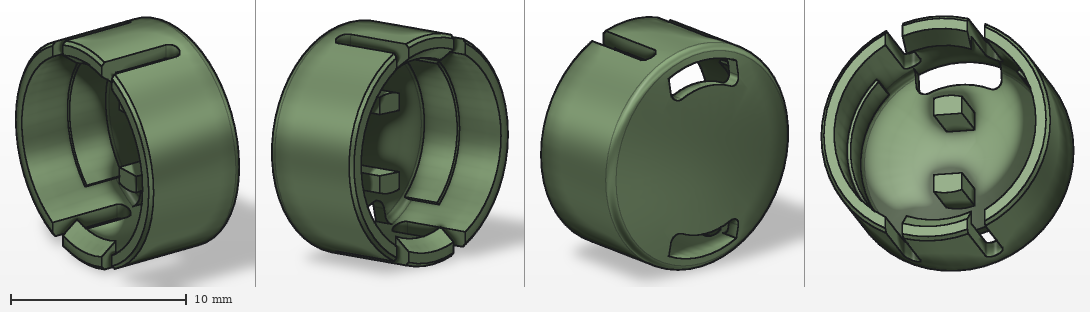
import cadquery as cq
import math


outer_radius = 6.7
inner_radius = 5.9
wall = outer_radius - inner_radius
height = 7.3
rim_chamfer = 0.2
dome_radius = 23.5
edge_fillet = 0.5

slot_width = 1.0
slot_center_x = 2.4
slot_length = 5.0
arm_half_width = slot_center_x - slot_width / 2

hook_tip_radius = 5.2
hook_length = 1.0

window_half_width = 2.5
window_inner_radius = 4.43
window_fillet = 0.5

pad_radius = 5.7
pad_start_y = 3.2
pad_angle = 90.0

pin_width = 1.65
pin_inner_z = 1.78
pin_outer_radius = 2.9
pin_start_y = 3.2


def prism(sketch, start_y, end_y):
    """Extrude a closed XZ sketch from start_y to end_y."""
    return sketch.extrude(start_y - end_y).translate((0, start_y, 0))


def revolve_about_axis(profile):
    """Revolve a closed XY profile around the Y axis."""
    return profile.close().revolve(360, (0, 0), (0, 1))


def blend_start_y(radius, apex_y, sphere_radius):
    """Height where the edge blend leaves the side, tangent to it and, from inside, to the dome."""
    center_y = apex_y - sphere_radius
    return center_y + math.sqrt((sphere_radius - edge_fillet) ** 2 - (radius - edge_fillet) ** 2)


def blended_dome(radius, apex_y, sphere_radius):
    """Wire from the side at (radius, blend_y), over the edge blend and the dome, to the apex."""
    center_y = apex_y - sphere_radius
    blend_x = radius - edge_fillet
    blend_y = blend_start_y(radius, apex_y, sphere_radius)
    tangent_angle = math.atan2(blend_y - center_y, blend_x)
    middle_angle = (tangent_angle + math.pi / 2) / 2

    def on_blend(angle):
        return (
            blend_x + edge_fillet * math.cos(angle),
            blend_y + edge_fillet * math.sin(angle),
        )

    def on_dome(angle):
        return (sphere_radius * math.cos(angle), center_y + sphere_radius * math.sin(angle))

    return (
        cq.Workplane("XY")
        .moveTo(radius, blend_y)
        .threePointArc(on_blend(tangent_angle / 2), on_blend(tangent_angle))
        .threePointArc(on_dome(middle_angle), (0, apex_y))
    )


def make_outside():
    """Solid body of the cap, with a chamfered rim."""
    profile = blended_dome(outer_radius, height, dome_radius).lineTo(0, 0).lineTo(outer_radius, 0)
    return revolve_about_axis(profile).faces("<Y").edges().chamfer(rim_chamfer)


def make_cavity():
    """Space inside the wall and under the dome, with the windows through the dome."""
    bore = prism(cq.Workplane("XZ").circle(inner_radius), 0, height)
    above_dome = height + wall
    inside_wall = inner_radius + wall / 2
    dome = (inner_radius, height - wall, dome_radius - wall)
    underside = blended_dome(*dome)
    blend_y = blend_start_y(*dome)
    ceiling = revolve_about_axis(
        underside.lineTo(0, above_dome).lineTo(inside_wall, above_dome).lineTo(inside_wall, blend_y)
    )
    return bore.cut(ceiling.cut(on_both_sides(make_window())))


def make_slots():
    """Round-ended slots, cut through both sides of the wall along Z."""
    overrun = slot_width
    straight_end = slot_length - slot_width / 2
    slots = cq.Workplane("XY")
    for x in (-slot_center_x, slot_center_x):
        left = x - slot_width / 2
        right = x + slot_width / 2
        slot = (
            cq.Workplane("XY")
            .moveTo(left, -overrun)
            .lineTo(right, -overrun)
            .lineTo(right, straight_end)
            .threePointArc((x, slot_length), (left, straight_end))
            .close()
            .extrude(outer_radius, both=True)
        )
        slots = slots.add(slot)
    return slots.combine()


def make_window():
    """Opening on the +Z side, from its rounded inner edge out past the wall."""
    ring = cq.Workplane("XZ").circle(outer_radius).circle(window_inner_radius)
    strip = cq.Workplane("XZ").center(0, outer_radius).rect(2 * window_half_width, 2 * outer_radius)
    window = prism(ring, 0, 2 * height).intersect(prism(strip, 0, 2 * height))
    corner_z = math.sqrt(window_inner_radius**2 - window_half_width**2)
    reach = window_fillet / 2
    corners = cq.selectors.BoxSelector(
        (-outer_radius, 0, corner_z - reach),
        (outer_radius, 2 * height, corner_z + reach),
    )
    return window.edges("|Y").edges(corners).fillet(window_fillet)


def make_hook():
    """Ramped hook across the +Z snap arm."""
    bite = wall / 2
    ring = (
        cq.Workplane("XY")
        .moveTo(inner_radius, 0)
        .lineTo(hook_tip_radius, hook_length)
        .lineTo(inner_radius + bite, hook_length)
        .lineTo(inner_radius + bite, 0)
        .close()
        .revolve(360, (0, 0), (0, 1))
    )
    strip = cq.Workplane("XZ").center(0, outer_radius / 2).rect(2 * arm_half_width, outer_radius)
    return ring.intersect(prism(strip, 0, hook_length))


def make_pin():
    """Pin on the +Z side, with a round outer face."""
    disc = cq.Workplane("XZ").circle(pin_outer_radius)
    depth = pin_outer_radius - pin_inner_z
    strip = cq.Workplane("XZ").center(0, pin_inner_z + depth / 2).rect(pin_width, depth)
    return prism(disc, pin_start_y, height).intersect(prism(strip, pin_start_y, height))


def make_pad():
    """Thin pad on the +X side of the inner wall."""
    ring = cq.Workplane("XZ").circle(inner_radius + wall / 2).circle(pad_radius)
    reach_z = 2 * outer_radius * math.tan(math.radians(pad_angle / 2))
    sector = (
        cq.Workplane("XZ")
        .lineTo(2 * outer_radius, reach_z)
        .lineTo(2 * outer_radius, -reach_z)
        .close()
    )
    return prism(ring, pad_start_y, height).intersect(prism(sector, pad_start_y, height))


def on_both_sides(feature):
    """The feature together with its copy half a turn around the axis."""
    return feature.union(feature.rotate((0, 0, 0), (0, 1, 0), 180))


outside = make_outside()
result = outside.cut(make_cavity())
for feature in (make_hook(), make_pin(), make_pad()):
    result = result.union(on_both_sides(feature).intersect(outside))
result = result.cut(make_slots())